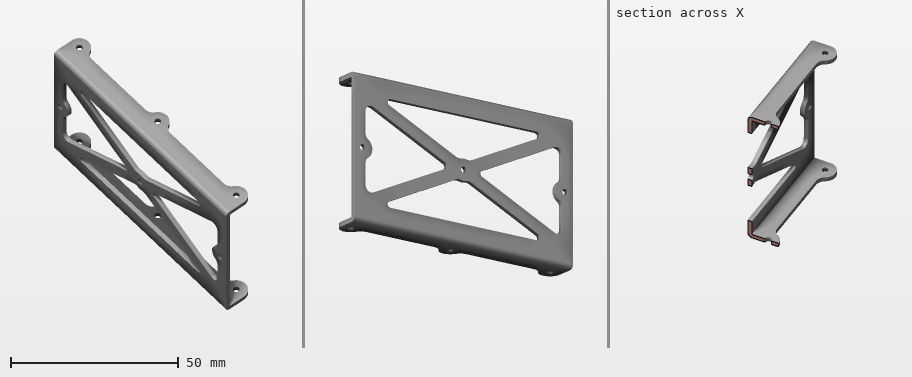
import cadquery as cq
import math

length = 80.0
height = 47.0
depth = 10.5
thickness = 1.5

hole_diameter = 2.0
hole_radius = hole_diameter / 2
lobe_radius = 3.5
lobe_blend_radius = 3.0
flange_hole_x = length / 2 - lobe_radius
flange_hole_y = depth - lobe_radius
web_hole_x = 37.0

strut_width = 4.0
strut_angle = math.radians(25.2)
window_half_length = 36.0
window_half_height = 17.0
sharp_corner_radius = 1.0
side_corner_radius = 2.0

strut_apex_x = strut_width / 2 / math.sin(strut_angle)
strut_apex_z = strut_width / 2 / math.cos(strut_angle)
strut_slope = math.tan(strut_angle)


def web_cylinder(x, radius):
    """Cylinder through the web, at mid height."""
    return cq.Workplane("XZ").center(x, 0).circle(radius).extrude(-thickness)


def make_channel():
    channel = cq.Workplane("XY").box(length, depth, height, centered=(True, False, True))
    channel = channel.edges("|X and <Y").fillet(thickness)
    inside = cq.Workplane("XY").box(
        length, depth, height - 2 * thickness, centered=(True, False, True)
    )
    return channel.cut(inside.translate((0, thickness, 0)))


def make_flange_outline():
    """Plan of both flanges, as a prism over the full height."""
    outline = cq.Workplane("XY").box(length, flange_hole_y, height, centered=(True, False, True))
    lobe_centers = [(x, flange_hole_y) for x in (-flange_hole_x, 0, flange_hole_x)]
    lobes = (
        cq.Workplane("XY", origin=(0, 0, -height / 2))
        .pushPoints(lobe_centers)
        .circle(lobe_radius)
        .extrude(height)
    )
    outline = outline.union(lobes)
    inner_x = flange_hole_x - lobe_radius / 2
    corners = cq.selectors.BoxSelector(
        (-inner_x, flange_hole_y - hole_radius, -height),
        (inner_x, flange_hole_y + hole_radius, height),
    )
    outline = outline.edges("|Z").edges(corners).fillet(lobe_blend_radius)
    holes = (
        cq.Workplane("XY", origin=(0, 0, -height / 2))
        .pushPoints(lobe_centers)
        .circle(hole_radius)
        .extrude(height)
    )
    return outline.cut(holes)


def make_upper_window():
    """Triangle above the struts, with its lower tip cut away by the central lobe."""
    half_width = (window_half_height - strut_apex_z) / strut_slope
    window = (
        cq.Workplane("XZ")
        .polyline([
            (0, strut_apex_z),
            (half_width, window_half_height),
            (-half_width, window_half_height),
        ])
        .close()
        .extrude(-thickness)
    )
    window = window.edges("|Y and >Z").fillet(sharp_corner_radius)
    window = window.cut(web_cylinder(0, lobe_radius))
    return window.edges("|Y and <Z").fillet(lobe_blend_radius)


def make_left_window():
    """Triangle between the struts, notched by the lobe of the end hole."""
    half_side = (window_half_length - strut_apex_x) * strut_slope
    window = (
        cq.Workplane("XZ")
        .polyline([
            (-strut_apex_x, 0),
            (-window_half_length, half_side),
            (-window_half_length, -half_side),
        ])
        .close()
        .extrude(-thickness)
    )
    window = window.edges("|Y and >X").fillet(sharp_corner_radius)
    window = window.cut(web_cylinder(-web_hole_x, lobe_radius))
    return window.edges("|Y and <X").fillet(side_corner_radius)


result = make_channel().intersect(make_flange_outline())

upper_window = make_upper_window()
left_window = make_left_window()
result = result.cut(upper_window).cut(upper_window.mirror("XY"))
result = result.cut(left_window).cut(left_window.mirror("YZ"))

for hole_x in (-web_hole_x, 0, web_hole_x):
    result = result.cut(web_cylinder(hole_x, hole_radius))